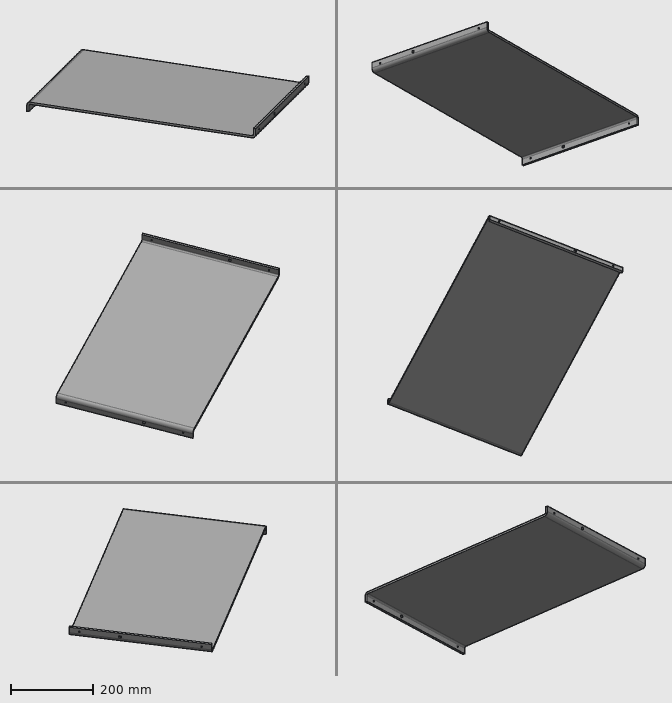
import cadquery as cq

length = 597.5
width = 355.5
height = 45.0

thickness = 6.0
inner_radius = 4.0
outer_radius = inner_radius + thickness

hole_edge_distance = 10.0
small_hole_diameter = 3.2
small_hole_offset = 152.5
large_hole_diameter = 6.5
large_hole_y = -51.0

half_length = length / 2
half_height = height / 2
half_thickness = thickness / 2


def make_bent_sheet():
    """Z-shaped sheet: left flange turned down, right flange turned up."""
    flange_inner_x = half_length - thickness
    outline = (
        cq.Workplane("XZ")
        .moveTo(-half_length, -half_height)
        .lineTo(-flange_inner_x, -half_height)
        .lineTo(-flange_inner_x, -half_thickness)
        .lineTo(half_length, -half_thickness)
        .lineTo(half_length, half_height)
        .lineTo(flange_inner_x, half_height)
        .lineTo(flange_inner_x, half_thickness)
        .lineTo(-half_length, half_thickness)
        .close()
    )
    sheet = outline.extrude(width / 2, both=True)

    for side in (-1, 1):
        outer_corner = (side * half_length, 0, -side * half_thickness)
        inner_corner = (side * flange_inner_x, 0, side * half_thickness)
        sheet = sheet.edges(cq.selectors.NearestToPointSelector(outer_corner)).fillet(outer_radius)
        sheet = sheet.edges(cq.selectors.NearestToPointSelector(inner_corner)).fillet(inner_radius)
    return sheet


def make_hole_cutters(diameter, y_positions):
    """Rods along X that pass through both flanges."""
    hole_z = half_height - hole_edge_distance
    centers = [(y, z) for y in y_positions for z in (-hole_z, hole_z)]
    return cq.Workplane("YZ").pushPoints(centers).circle(diameter / 2).extrude(length, both=True)


small_holes = make_hole_cutters(small_hole_diameter, (-small_hole_offset, small_hole_offset))
large_holes = make_hole_cutters(large_hole_diameter, (large_hole_y,))

result = make_bent_sheet().cut(small_holes).cut(large_holes)